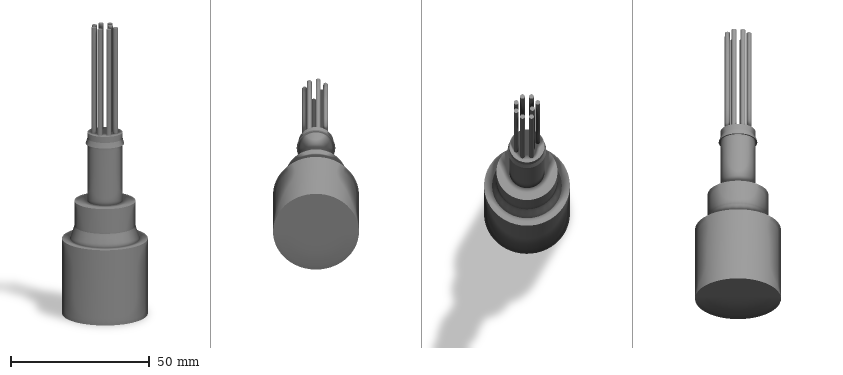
import cadquery as cq
import math

total_height = 108.0

body_diameter = 31.0
body_top = 28.3

flare_diameter = 25.2
neck_diameter = 22.0
flare_top = 33.2
neck_top = 42.4

sleeve_diameter = 12.7
sleeve_top = 68.3

ring_diameter = 13.9
ring_bottom = 64.0
ring_top = 66.0

wire_diameter = 1.7
wire_circle_radius = 4.2
wire_step_angle = 45
inner_wire_direction = 90
inner_wire_radius = wire_circle_radius / 2


def turned_housing():
    """Body, flared neck, cable sleeve and tapered ring, turned about Z."""
    sleeve_radius = sleeve_diameter / 2
    neck_radius = neck_diameter / 2
    body_radius = body_diameter / 2
    return (
        cq.Workplane("XZ")
        .lineTo(body_radius, 0)
        .lineTo(body_radius, body_top)
        .lineTo(flare_diameter / 2, body_top)
        .lineTo(neck_radius, flare_top)
        .lineTo(neck_radius, neck_top)
        .lineTo(sleeve_radius, neck_top)
        .lineTo(sleeve_radius, ring_bottom)
        .lineTo(ring_diameter / 2, ring_bottom)
        .lineTo(sleeve_radius, ring_top)
        .lineTo(sleeve_radius, sleeve_top)
        .lineTo(0, sleeve_top)
        .close()
        .revolve(360, (0, 0, 0), (0, 1, 0))
    )


def wire_centers():
    """One wire per direction, all on the same circle except the inner one."""
    centers = []
    for direction in range(0, 360, wire_step_angle):
        radius = inner_wire_radius if direction == inner_wire_direction else wire_circle_radius
        angle = math.radians(direction)
        centers.append((radius * math.cos(angle), radius * math.sin(angle)))
    return centers


def wires():
    """Straight wires standing on the end face of the sleeve."""
    return (
        cq.Workplane("XY")
        .workplane(offset=sleeve_top)
        .pushPoints(wire_centers())
        .circle(wire_diameter / 2)
        .extrude(total_height - sleeve_top)
    )


result = turned_housing().union(wires())